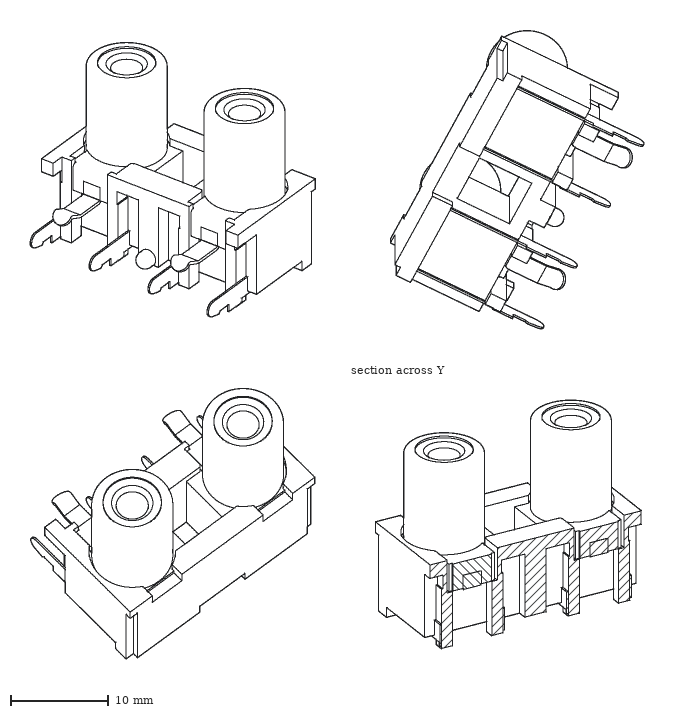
import cadquery as cq
import math

SIDES = (-1, 1)

width = 25.0
top_z = 10.0
back_y = 5.5
wall_front_y = -4.75
column_front_y = -6.5
arm_front_y = -8.0
belly_z = 1.15
half_width = width / 2
jack_x = 7.5

window_half_width = 2.5
window_front_y = -3.12
window_back_y = 2.92
foot_inner_x = 3.05
foot_front_y = 3.18
pocket_top_z = 8.4
post_half_width = 1.28
column_inner = 2.3
column_upper_outer = 3.5
column_step_z = 6.88
arm_width = half_width - jack_x - column_upper_outer
corner_notch_width = 1.0
corner_notch_depth = 0.65
corner_notch_top_z = 8.75
peg_radius = 0.95
peg_z = 1.88
peg_center_y = -7.08

seat_z = 9.1
seat_radius = 4.45
rear_slot_half_width = 2.0
rear_step_y = 4.25
barrel_radius = 4.18
barrel_top_z = 19.5
barrel_fillet = 0.5
face_recess_radius = 3.0
face_recess_depth = 0.2
bore_radius = 1.65
bore_chamfer = 0.48
bore_depth = 9.0
block_bottom_z = 6.28
block_top_z = 9.45
block_half_width = 2.7
lip_front_y = -6.2
lip_round = 0.5
block_front_y = lip_front_y + lip_round
block_side_gap = 0.25
block_front_gap = 0.12

contact_width = 2.1
contact_thickness = 0.35
contact_top_z = 6.18
contact_tip_y = -12.0
stub_front_y = -6.1
stub_height = 1.5
root_inner_radius = 0.25
rise_length = 1.25
rise_angle = math.radians(24)
tip_angle = math.radians(45)
crest_radius = 0.45

blade_pitch = 3.75
blade_thickness = 0.2
blade_top_z = 2.85
blade_rear_z = 0.78
blade_foot_z = 0.28
blade_foot_back_y = -5.72
blade_neck_start_y = arm_front_y
blade_neck_end_y = -9.45
blade_barb_y = -9.72
blade_barb_z = 0.85
blade_nose_radius = 0.88
blade_nose_y = -10.68
column_lower_outer = blade_pitch - blade_thickness / 2


def block(x0, x1, y0, y1, z0, z1):
    """Box between two X, two Y and two Z positions, given in either order."""
    corner = (min(x0, x1), min(y0, y1), min(z0, z1))
    return cq.Workplane("XY").box(abs(x1 - x0), abs(y1 - y0), abs(z1 - z0), centered=False).translate(corner)


def disc(x, radius, z0, z1):
    """Upright cylinder on a barrel axis."""
    return cq.Workplane("XY", origin=(x, 0, z0)).circle(radius).extrude(z1 - z0)


def make_column(x, side):
    """Front column beside a jack, a little wider below the step where it meets the blade."""
    inner_x = x + side * column_inner
    upper = block(inner_x, x + side * column_upper_outer, column_front_y, wall_front_y, column_step_z, top_z)
    lower = block(inner_x, x + side * column_lower_outer, column_front_y, wall_front_y, 0, column_step_z)
    return upper.union(lower)


def make_peg():
    """Locating peg with a hemispherical end."""
    shank = cq.Workplane("XZ", origin=(0, column_front_y, peg_z)).circle(peg_radius)
    shank = shank.extrude(column_front_y - peg_center_y)
    dome = cq.Workplane("XY").sphere(peg_radius).translate((0, peg_center_y, peg_z))
    return shank.union(dome)


def make_seat(side):
    """Space cut from the housing for one jack."""
    x = side * jack_x
    recess_half_width = block_half_width + block_side_gap
    recess_front_y = block_front_y - block_front_gap
    seat = disc(x, seat_radius, seat_z, top_z)
    seat = seat.union(block(x, side * window_half_width, window_front_y, window_back_y, seat_z, top_z))
    rear_x = (x - rear_slot_half_width, x + rear_slot_half_width)
    seat = seat.union(block(*rear_x, 0, rear_step_y, seat_z, top_z))
    seat = seat.union(block(*rear_x, rear_step_y, back_y, corner_notch_top_z, top_z))
    seat = seat.union(block(x - recess_half_width, x + recess_half_width,
                            recess_front_y, window_front_y, block_bottom_z, top_z))
    return seat.union(block(x - column_inner, x + column_inner,
                            column_front_y, window_front_y, block_bottom_z, top_z))


def make_housing():
    """Housing body before the slots for the blades are cut."""
    body = block(-half_width, half_width, wall_front_y, back_y, belly_z, top_z)
    body = body.union(block(-post_half_width, post_half_width, column_front_y, wall_front_y, belly_z, top_z))
    bridge_half_width = jack_x - column_inner
    body = body.union(block(-bridge_half_width, bridge_half_width,
                            column_front_y, wall_front_y, pocket_top_z, top_z))
    for side in SIDES:
        edge_x = side * half_width
        body = body.union(block(side * foot_inner_x, edge_x, foot_front_y, back_y, 0, belly_z))
        body = body.union(block(edge_x - side * arm_width, edge_x,
                                arm_front_y, wall_front_y, pocket_top_z, top_z))
        for column_side in SIDES:
            body = body.union(make_column(side * jack_x, column_side))
    body = body.union(make_peg())

    body = body.cut(block(-window_half_width, window_half_width, window_front_y, window_back_y, 0, top_z))
    for side in SIDES:
        edge_x = side * half_width
        body = body.cut(make_seat(side))
        body = body.cut(block(edge_x - side * corner_notch_width, edge_x,
                              back_y - corner_notch_depth, back_y, 0, corner_notch_top_z))
    return body


def make_jack(x):
    """Barrel with a stepped, chamfered bore, and the block that locks it into the housing."""
    face_z = barrel_top_z - face_recess_depth
    barrel = disc(x, barrel_radius, seat_z, barrel_top_z).faces(">Z").edges().fillet(barrel_fillet)
    jack_block = block(x - block_half_width, x + block_half_width,
                       block_front_y, window_front_y, block_bottom_z, block_top_z)
    lip = block(x - column_inner, x + column_inner, lip_front_y, window_front_y, block_bottom_z, block_top_z)
    lip = lip.faces("<Y").edges(">Z").fillet(lip_round)
    jack = barrel.union(jack_block).union(lip)
    jack = jack.cut(disc(x, face_recess_radius, face_z, barrel_top_z))
    jack = jack.cut(disc(x, bore_radius, face_z - bore_depth, face_z))
    chamfer = cq.Solid.makeCone(bore_radius, bore_radius + bore_chamfer, bore_chamfer,
                                pnt=cq.Vector(x, 0, face_z - bore_chamfer))
    return jack.cut(cq.Workplane(chamfer))


def make_contact(x):
    """Strip that drops out of the lip, bends forward, rises to a crest and ends in a sloping round tip."""
    tip_length = contact_width / 2
    crest_end_y = contact_tip_y + tip_length * math.cos(tip_angle)
    crest_y = crest_end_y + crest_radius * math.sin(tip_angle)
    rise_end_y = crest_y + crest_radius * math.sin(rise_angle)
    rise_start_y = rise_end_y + rise_length
    crest_z = contact_top_z + rise_length * math.tan(rise_angle) - crest_radius * math.cos(rise_angle)
    bend_y = stub_front_y - root_inner_radius
    bend_z = contact_top_z + root_inner_radius
    root_outer_radius = root_inner_radius + contact_thickness
    stub_top_z = block_bottom_z + stub_height
    crest_inner_radius = crest_radius - contact_thickness

    def around(center_y, center_z, radius, angle):
        """Point at an angle measured from straight up, positive toward +Y."""
        return (center_y + radius * math.sin(angle), center_z + radius * math.cos(angle))

    lower_rise_start_y = rise_start_y + contact_thickness * math.tan(rise_angle / 2)
    contact_bottom_z = contact_top_z - contact_thickness
    root_mid_angle = math.radians(135)
    profile = (
        cq.Workplane("YZ", origin=(x - contact_width / 2, 0, 0))
        .moveTo(stub_front_y, stub_top_z)
        .lineTo(stub_front_y, bend_z)
        .threePointArc(around(bend_y, bend_z, root_inner_radius, root_mid_angle), (bend_y, contact_top_z))
        .lineTo(rise_start_y, contact_top_z)
        .lineTo(*around(crest_y, crest_z, crest_radius, rise_angle))
        .threePointArc((crest_y, crest_z + crest_radius), around(crest_y, crest_z, crest_radius, -tip_angle))
        .lineTo(*around(crest_y, crest_z, crest_inner_radius, -tip_angle))
        .threePointArc((crest_y, crest_z + crest_inner_radius),
                       around(crest_y, crest_z, crest_inner_radius, rise_angle))
        .lineTo(lower_rise_start_y, contact_bottom_z)
        .lineTo(bend_y, contact_bottom_z)
        .threePointArc(around(bend_y, bend_z, root_outer_radius, root_mid_angle),
                       (stub_front_y + contact_thickness, bend_z))
        .lineTo(stub_front_y + contact_thickness, stub_top_z)
        .close()
    )
    strip = profile.extrude(contact_width)

    tip_y, tip_z = around(crest_y, crest_z, crest_radius, -tip_angle)
    tip_plane = cq.Plane(origin=(x, tip_y, tip_z), xDir=(1, 0, 0),
                         normal=(0, -math.sin(tip_angle), math.cos(tip_angle)))
    tip = (
        cq.Workplane(tip_plane)
        .moveTo(-contact_width / 2, 0)
        .threePointArc((0, -tip_length), (contact_width / 2, 0))
        .close()
        .extrude(-contact_thickness)
    )
    return strip.union(tip)


def make_blade(x):
    """Flat ground blade with a stepped root, a barb and a rounded nose."""
    nose_z = blade_top_z - blade_nose_radius
    barb_dy = blade_barb_y - blade_nose_y
    barb_dz = blade_barb_z - nose_z
    tangent_angle = math.atan2(barb_dz, barb_dy) - math.acos(blade_nose_radius / math.hypot(barb_dy, barb_dz))
    tangent_y = blade_nose_y + blade_nose_radius * math.cos(tangent_angle)
    tangent_z = nose_z + blade_nose_radius * math.sin(tangent_angle)
    outline = (
        cq.Workplane("YZ", origin=(x - blade_thickness / 2, 0, 0))
        .moveTo(foot_front_y, blade_top_z)
        .lineTo(blade_nose_y, blade_top_z)
        .threePointArc((blade_nose_y - blade_nose_radius, nose_z), (tangent_y, tangent_z))
        .lineTo(blade_barb_y, blade_barb_z)
        .lineTo(blade_neck_end_y, belly_z)
        .lineTo(blade_neck_start_y, belly_z)
        .lineTo(blade_neck_start_y, blade_foot_z)
        .lineTo(blade_foot_back_y, blade_foot_z)
        .lineTo(blade_foot_back_y, blade_rear_z)
        .lineTo(foot_front_y, blade_rear_z)
        .close()
    )
    return outline.extrude(blade_thickness)


contacts = [make_contact(side * jack_x) for side in SIDES]
blades = [make_blade(side * jack_x + offset * blade_pitch) for side in SIDES for offset in SIDES]

jacks = [make_jack(side * jack_x).cut(contact) for side, contact in zip(SIDES, contacts)]

housing = make_housing()
for blade in blades:
    housing = housing.cut(blade)

bodies = [housing, *jacks, *contacts, *blades]
result = cq.Compound.makeCompound([body.val() for body in bodies])